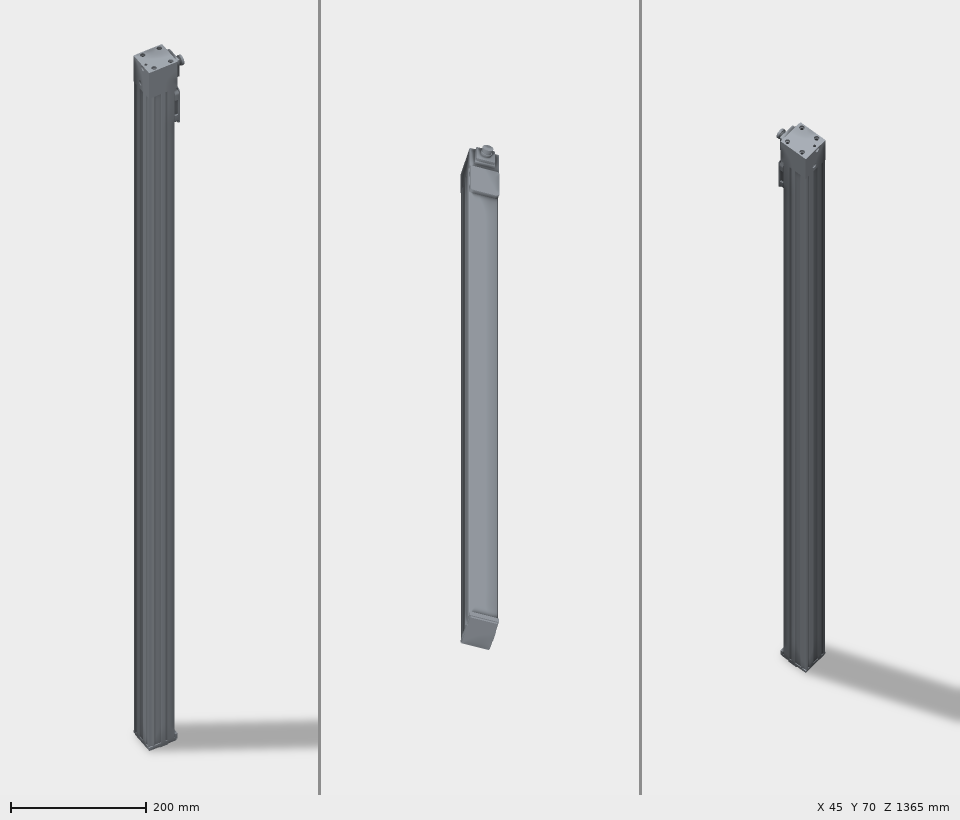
import cadquery as cq

LENGTH = 1365.0
WIDTH = 45.0
HALF = WIDTH / 2
FRONT_Y = -HALF
BACK_Y = HALF
DEPTH = 70.0
CAP_BACK_Y = BACK_Y + 4.0

HEAD_HEIGHT = 52.0
HEAD_BOTTOM_Z = LENGTH - HEAD_HEIGHT
FOOT_THICKNESS = 8.0

GROOVE_DEPTH = 1.0
CENTRE_GROOVE_HALF = 5.0
OUTER_GROOVE_INNER_X = 14.0
OUTER_GROOVE_OUTER_X = 18.0
RIDGE_FRONT_Y = -18.0
RIDGE_TIP_Y = -14.0
RIDGE_BACK_Y = -11.0
WIDE_GROOVE_BACK_Y = -1.0
NARROW_GROOVE_FRONT_Y = 5.0
NARROW_GROOVE_BACK_Y = 10.0
REAR_CHAMFER = 1.0

FRONT_HOLE_DIAMETER = 8.5
FRONT_HOLE_DEPTH = 8.0
FRONT_HOLES = [(4.0, LENGTH - 5.0), (-3.0, LENGTH - 40.0)]
SCREW_HOLE_DIAMETER = 4.6
SCREW_HOLE_DEPTH = 16.0
SCREW_HEAD_DIAMETER = 8.0
SCREW_HEAD_DEPTH = 4.0
SCREW_X = 16.0
SCREW_FRONT_Y = FRONT_Y + 12.0
SCREW_BACK_Y = FRONT_Y + 41.0
TOP_HOLE_DIAMETER = 4.5
TOP_HOLE_DEPTH = 4.0
TOP_HOLE_X = 4.0
TOP_HOLE_Y = FRONT_Y + 5.0

FOOT_STEP_HEIGHT = FOOT_THICKNESS / 2
FOOT_STEP_INSET = 1.0
FOOT_TAB_FRONT_Y = -4.0
FOOT_TAB_BACK_Y = 11.0
FOOT_LIP_HEIGHT = 15.0

CONNECTOR_Z = LENGTH - 23.0
FLANGE_WIDTH = 29.0
GASKET_WIDTH = 31.0
FLANGE_HEIGHT = 33.0
FLANGE_TIER = 4.0
GASKET_HEIGHT = 37.0
SOCKET_DIAMETER = 16.0
SOCKET_NECK_DIAMETER = 14.0
SOCKET_RING_LENGTH = 4.0
SOCKET_END_Y = FRONT_Y + DEPTH

BRACKET_BOTTOM_Z = 1238.0
BRACKET_HEIGHT = 70.0
BRACKET_BASE = 7.0
BRACKET_PLATE = 1.0
BRACKET_MARGIN = 4.0
BRACKET_CORNER_RADIUS = 5.0
NOTCH_HEIGHT = 30.0
NOTCH_LENGTH = 5.0
NOTCH_DEPTH = 3.0


def box(width, y_start, y_end, z_start, z_end, x_centre=0.0):
    """Box centred on x_centre, between two Y planes and two Z planes."""
    return (
        cq.Workplane("XY", origin=(x_centre, (y_start + y_end) / 2, z_start))
        .rect(width, y_end - y_start)
        .extrude(z_end - z_start)
    )


def make_rail():
    """Long extrusion with shallow grooves along its front and both sides."""
    front_floor = FRONT_Y + GROOVE_DEPTH
    side_floor = HALF - GROOVE_DEPTH
    half_outline = [
        (CENTRE_GROOVE_HALF, front_floor),
        (CENTRE_GROOVE_HALF, FRONT_Y),
        (OUTER_GROOVE_INNER_X, FRONT_Y),
        (OUTER_GROOVE_INNER_X, front_floor),
        (OUTER_GROOVE_OUTER_X, front_floor),
        (OUTER_GROOVE_OUTER_X, FRONT_Y),
        (side_floor, FRONT_Y),
        (side_floor, RIDGE_FRONT_Y),
        (HALF, RIDGE_TIP_Y),
        (side_floor, RIDGE_BACK_Y),
        (side_floor, WIDE_GROOVE_BACK_Y),
        (HALF, WIDE_GROOVE_BACK_Y),
        (HALF, NARROW_GROOVE_FRONT_Y),
        (side_floor, NARROW_GROOVE_FRONT_Y),
        (side_floor, NARROW_GROOVE_BACK_Y),
        (HALF, NARROW_GROOVE_BACK_Y),
        (HALF, BACK_Y - REAR_CHAMFER),
        (HALF - REAR_CHAMFER, BACK_Y),
    ]
    mirrored_half = [(-x, y) for x, y in reversed(half_outline)]
    return (
        cq.Workplane("XY", origin=(0, 0, FOOT_THICKNESS))
        .polyline(half_outline + mirrored_half)
        .close()
        .extrude(HEAD_BOTTOM_Z - FOOT_THICKNESS)
    )


def make_head():
    """Top block with four counterbored screw holes and small holes in its front and top."""
    head = box(WIDTH, FRONT_Y, CAP_BACK_Y, HEAD_BOTTOM_Z, LENGTH)
    top = cq.Workplane("XY", origin=(0, 0, LENGTH))
    screw_places = [(x, y) for x in (-SCREW_X, SCREW_X) for y in (SCREW_FRONT_Y, SCREW_BACK_Y)]
    screw_holes = top.pushPoints(screw_places).circle(SCREW_HOLE_DIAMETER / 2).extrude(-SCREW_HOLE_DEPTH)
    screw_heads = top.pushPoints(screw_places).circle(SCREW_HEAD_DIAMETER / 2).extrude(-SCREW_HEAD_DEPTH)
    top_hole = top.center(TOP_HOLE_X, TOP_HOLE_Y).circle(TOP_HOLE_DIAMETER / 2).extrude(-TOP_HOLE_DEPTH)
    front_holes = (
        cq.Workplane("XZ", origin=(0, FRONT_Y, 0))
        .pushPoints(FRONT_HOLES)
        .circle(FRONT_HOLE_DIAMETER / 2)
        .extrude(-FRONT_HOLE_DEPTH)
    )
    return head.cut(screw_holes).cut(screw_heads).cut(top_hole).cut(front_holes)


def make_foot():
    """Bottom plate with an inset lower step, a tab on each side and a lip behind the rail."""
    plate = box(WIDTH, FRONT_Y, CAP_BACK_Y, FOOT_STEP_HEIGHT, FOOT_THICKNESS)
    step = box(
        WIDTH - 2 * FOOT_STEP_INSET,
        FRONT_Y + FOOT_STEP_INSET,
        CAP_BACK_Y - FOOT_STEP_INSET,
        0,
        FOOT_STEP_HEIGHT,
    )
    tabs = box(WIDTH, FOOT_TAB_FRONT_Y, FOOT_TAB_BACK_Y, 0, FOOT_STEP_HEIGHT)
    lip = box(WIDTH, BACK_Y, CAP_BACK_Y, FOOT_STEP_HEIGHT, FOOT_LIP_HEIGHT)
    return plate.union(step).union(tabs).union(lip)


def connector_cylinder(diameter, y_start, y_end):
    """Cylinder on the connector axis, between two Y planes."""
    return (
        cq.Workplane("XZ", origin=(0, y_start, CONNECTOR_Z))
        .circle(diameter / 2)
        .extrude(y_start - y_end)
    )


def make_connector():
    """Flanged connector with a round, ringed socket, on the back of the head."""
    flange_back_y = CAP_BACK_Y + 2 * FLANGE_TIER
    gasket_top = CONNECTOR_Z + FLANGE_HEIGHT / 2
    gasket = box(GASKET_WIDTH, CAP_BACK_Y, CAP_BACK_Y + FLANGE_TIER, gasket_top - GASKET_HEIGHT, gasket_top)
    flange = box(FLANGE_WIDTH, CAP_BACK_Y, flange_back_y, CONNECTOR_Z - FLANGE_HEIGHT / 2, gasket_top)
    neck = connector_cylinder(SOCKET_NECK_DIAMETER, flange_back_y, SOCKET_END_Y)
    base_ring = connector_cylinder(SOCKET_DIAMETER, flange_back_y, flange_back_y + SOCKET_RING_LENGTH)
    end_ring = connector_cylinder(SOCKET_DIAMETER, SOCKET_END_Y - SOCKET_RING_LENGTH, SOCKET_END_Y)
    return gasket.union(flange).union(neck).union(base_ring).union(end_ring)


def make_bracket():
    """Bracket on the back of the rail: a rounded base, notched on both sides, under a longer plate."""
    top_z = BRACKET_BOTTOM_Z + BRACKET_HEIGHT
    middle_z = (BRACKET_BOTTOM_Z + top_z) / 2
    base_back_y = BACK_Y + BRACKET_BASE
    plate_back_y = base_back_y + BRACKET_PLATE
    base = box(WIDTH, BACK_Y, base_back_y, BRACKET_BOTTOM_Z + BRACKET_MARGIN, top_z - BRACKET_MARGIN)
    base = base.edges("|Y").fillet(BRACKET_CORNER_RADIUS)
    plate = box(WIDTH, base_back_y, plate_back_y, BRACKET_BOTTOM_Z, top_z)
    bracket = base.union(plate.edges("|Y").fillet(BRACKET_CORNER_RADIUS))
    for side_x in (-HALF, HALF):
        notch = box(
            2 * NOTCH_DEPTH,
            BACK_Y,
            BACK_Y + NOTCH_LENGTH,
            middle_z - NOTCH_HEIGHT / 2,
            middle_z + NOTCH_HEIGHT / 2,
            x_centre=side_x,
        )
        bracket = bracket.cut(notch)
    return bracket


rail = make_rail()
head = make_head()
foot = make_foot()
connector = make_connector()
bracket = make_bracket()

result = cq.Compound.makeCompound(
    [rail.val(), head.val(), foot.val(), connector.val(), bracket.val()]
)